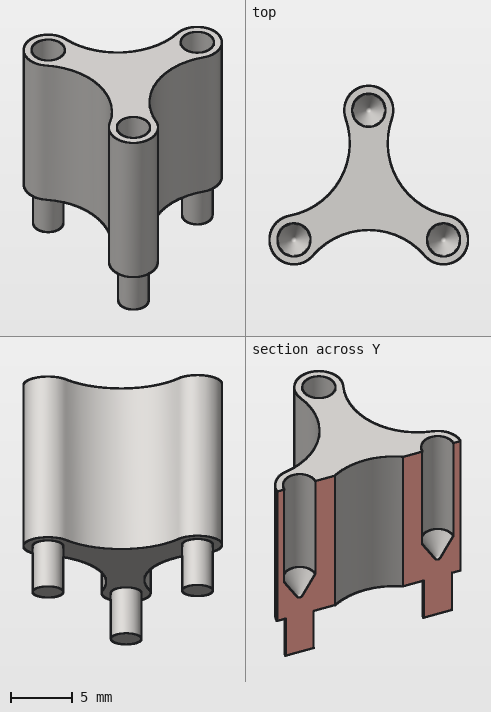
import cadquery as cq
import math

total_height = 18.0
pin_length = 4.0
pin_diameter = 2.5
lobe_circle_radius = 7.0
lobe_radius = 2.0
waist_radius = 6.0
socket_radius = 1.35
socket_depth = 10.0
socket_tip_radius = 0.25
socket_tip_angle = 60.0

lobe_count = 3
lobe_step = 360.0 / lobe_count
half_step = lobe_step / 2
first_lobe_angle = 90.0
body_height = total_height - pin_length
lobe_angles = [first_lobe_angle + i * lobe_step for i in range(lobe_count)]

half_lobe_spacing = lobe_circle_radius * math.sin(math.radians(half_step))
waist_center_distance = lobe_circle_radius * math.cos(math.radians(half_step)) + math.sqrt(
    (waist_radius + lobe_radius) ** 2 - half_lobe_spacing**2
)


def polar(distance, angle):
    """Point at a distance from the part axis, angle in degrees."""
    return (
        distance * math.cos(math.radians(angle)),
        distance * math.sin(math.radians(angle)),
    )


def tangent_point(lobe_angle, waist_angle):
    """Point where a lobe meets the flank centred at waist_angle."""
    lobe_x, lobe_y = polar(lobe_circle_radius, lobe_angle)
    waist_x, waist_y = polar(waist_center_distance, waist_angle)
    share = lobe_radius / (lobe_radius + waist_radius)
    return (
        lobe_x + share * (waist_x - lobe_x),
        lobe_y + share * (waist_y - lobe_y),
    )


def make_body():
    """Three-lobed prism standing on Z = 0."""
    first = lobe_angles[0]
    outline = cq.Workplane("XY").moveTo(*tangent_point(first, first - half_step))
    for angle in lobe_angles:
        next_waist = angle + half_step
        lobe_tip = polar(lobe_circle_radius + lobe_radius, angle)
        waist_middle = polar(waist_center_distance - waist_radius, next_waist)
        outline = outline.threePointArc(lobe_tip, tangent_point(angle, next_waist))
        outline = outline.threePointArc(waist_middle, tangent_point(angle + lobe_step, next_waist))
    return outline.close().extrude(body_height)


def make_pin(center):
    """Round pin hanging below a lobe."""
    return cq.Workplane("XY").center(*center).circle(pin_diameter / 2).extrude(-pin_length)


def make_socket(center):
    """Blind hole with a conical bottom that ends in a tangent rounded tip."""
    half_angle = math.radians(socket_tip_angle / 2)
    tip_edge_radius = socket_tip_radius * math.cos(half_angle)
    wall_bottom = body_height - socket_depth
    tip_edge = wall_bottom - (socket_radius - tip_edge_radius) / math.tan(half_angle)
    tip_bottom = tip_edge - socket_tip_radius * (1 - math.sin(half_angle))
    profile = (
        cq.Workplane("XZ")
        .moveTo(0, body_height)
        .lineTo(socket_radius, body_height)
        .lineTo(socket_radius, wall_bottom)
        .lineTo(tip_edge_radius, tip_edge)
        .radiusArc((0, tip_bottom), socket_tip_radius)
        .close()
    )
    return profile.revolve(360, (0, 0), (0, 1)).translate((*center, 0))


result = make_body()
lobe_centers = [polar(lobe_circle_radius, angle) for angle in lobe_angles]
for lobe_center in lobe_centers:
    result = result.union(make_pin(lobe_center))
    result = result.cut(make_socket(lobe_center))

result = result.translate((0, 0, pin_length))